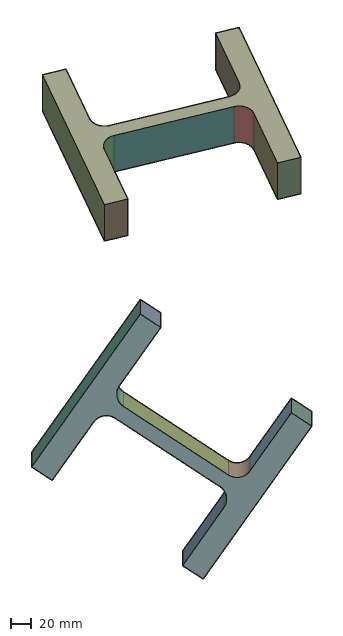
import cadquery as cq

flange_width = 186.0
section_depth = 200.0
length = 50.0
flange_thickness = 24.0
web_thickness = 14.5
root_radius = 15.0

flange_offset = (section_depth - flange_thickness) / 2

beam = cq.Workplane("XY").box(web_thickness, section_depth, length)

for side in (-1, 1):
    flange = cq.Workplane("XY").box(flange_width, flange_thickness, length)
    beam = beam.union(flange.translate((0, side * flange_offset, 0)))

inner_half_depth = section_depth / 2 - flange_thickness
selection_margin = 2.0
corner_region = cq.selectors.BoxSelector(
    (-web_thickness, -inner_half_depth - selection_margin, -length),
    (web_thickness, inner_half_depth + selection_margin, length),
)
result = beam.clean().edges("|Z").edges(corner_region).fillet(root_radius)